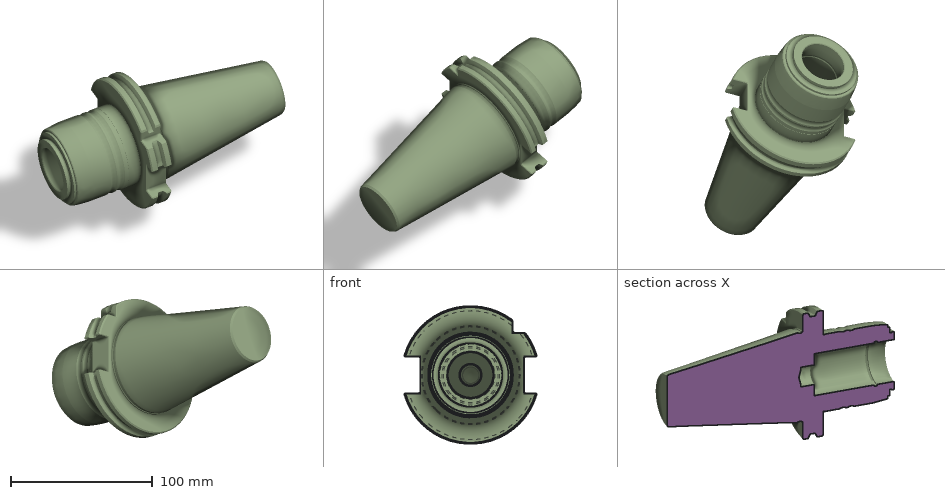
import cadquery as cq
import math


GAUGE_RADIUS = 35.0
TAPER_LENGTH = 101.7
TAPER_SLOPE = 7 / 48
TAPER_END_RADIUS = GAUGE_RADIUS - TAPER_LENGTH * TAPER_SLOPE
TAPER_END_CHAMFER = 1.5

RELIEF_DEPTH = 0.7
RELIEF_START_Y = 0.5
RELIEF_END_Y = -2.3

FLANGE_RADIUS = 48.7
FLANGE_BACK_Y = -3.2
FLANGE_WIDTH = 16.0
FLANGE_FRONT_Y = FLANGE_BACK_Y - FLANGE_WIDTH
FLANGE_CHAMFER = 0.9

GROOVE_CENTER_Y = -10.9
GROOVE_BOTTOM_WIDTH = 3.7
GROOVE_MOUTH_WIDTH = 7.0
GROOVE_BOTTOM_RADIUS = 45.5

SLOT_WIDTH = 25.6
LEFT_SLOT_X = -35.5
RIGHT_SLOT_X = 37.8
INDEX_NOTCH_CORNER = 29.9
SLOT_FACE_CHAMFER = 0.5
SLOT_RIM_CHAMFER = 0.9
SLOT_CORNER_RADIUS = 1.0

TOLERANCE = 0.01

TOTAL_LENGTH = 175.6
NOSE_END_Y = TAPER_LENGTH - TOTAL_LENGTH
NOSE_RADIUS = 30.0
ROOT_SEAM_Y = -19.7
SLEEVE_SEAM_Y = -28.8
SEAM_WIDTH = 0.5
SEAM_DEPTH = 0.2
RIPPLE_DEPTH = 0.7
BACK_RIPPLE = (-31.8, -36.5)
FRONT_RIPPLE = (-38.0, -43.0)
CROWN_START_Y = -56.7
CROWN_END_Y = -68.5
CROWN_END_RADIUS = 28.8
CROWN_BULGE = 0.26
CROWN_CHAMFER = 0.5
STEP_RADIUS = 26.7
STEP_END_Y = -70.6
NECK_RADIUS = 22.0
COLLAR_RADIUS = 22.5
COLLAR_START_Y = -71.8

BORE_RADIUS = 16.0
BORE_DEPTH = 61.5
BORE_CHAMFER = 0.5
BORE_RING_DEPTH = 15.5
BORE_RING_WIDTH = 2.1
BORE_RING_RADIUS = 17.0
COOLANT_RADIUS = 7.4
COOLANT_DEPTH = 10.5
COOLANT_CHAMFER = 0.5
DRILL_TIP_RADIUS = 5.8
DRILL_TIP_ANGLE = 150
DRILL_TIP_DEPTH = DRILL_TIP_RADIUS / math.tan(math.radians(DRILL_TIP_ANGLE / 2))


def revolve_about_y(profile):
    """Close an XY half profile and turn it about the Y axis."""
    return profile.close().revolve(360, (0, 0, 0), (0, 1, 0))


def seam(profile, middle):
    """Add one fine square groove to the nose outline."""
    start = middle + SEAM_WIDTH / 2
    end = middle - SEAM_WIDTH / 2
    seam_radius = NOSE_RADIUS - SEAM_DEPTH
    return (
        profile
        .lineTo(NOSE_RADIUS, start)
        .lineTo(seam_radius, start)
        .lineTo(seam_radius, end)
        .lineTo(NOSE_RADIUS, end)
    )


def ripple(profile, limits):
    """Add one shallow concave ring to the nose outline."""
    start, end = limits
    middle = (NOSE_RADIUS - RIPPLE_DEPTH, (start + end) / 2)
    return profile.lineTo(NOSE_RADIUS, start).threePointArc(middle, (NOSE_RADIUS, end))


def make_shank():
    relief_radius = GAUGE_RADIUS - RELIEF_DEPTH
    chamfer_y = TAPER_LENGTH - TAPER_END_CHAMFER
    profile = (
        cq.Workplane("XY")
        .moveTo(0, TAPER_LENGTH)
        .lineTo(TAPER_END_RADIUS - TAPER_END_CHAMFER / 2, TAPER_LENGTH)
        .lineTo(GAUGE_RADIUS - chamfer_y * TAPER_SLOPE, chamfer_y)
        .lineTo(GAUGE_RADIUS - RELIEF_START_Y * TAPER_SLOPE, RELIEF_START_Y)
        .lineTo(relief_radius, RELIEF_START_Y)
        .lineTo(relief_radius, RELIEF_END_Y)
        .lineTo(GAUGE_RADIUS, RELIEF_END_Y)
        .lineTo(GAUGE_RADIUS, FLANGE_BACK_Y)
        .lineTo(0, FLANGE_BACK_Y)
    )
    return revolve_about_y(profile)


def make_nose():
    crown_middle = (
        (NOSE_RADIUS + CROWN_END_RADIUS) / 2 + CROWN_BULGE,
        (CROWN_START_Y + CROWN_END_Y) / 2,
    )
    profile = (
        cq.Workplane("XY")
        .moveTo(0, FLANGE_FRONT_Y)
        .lineTo(NOSE_RADIUS, FLANGE_FRONT_Y)
    )
    profile = seam(profile, ROOT_SEAM_Y)
    profile = seam(profile, SLEEVE_SEAM_Y)
    profile = ripple(profile, BACK_RIPPLE)
    profile = ripple(profile, FRONT_RIPPLE)
    profile = (
        profile
        .lineTo(NOSE_RADIUS, CROWN_START_Y)
        .threePointArc(crown_middle, (CROWN_END_RADIUS, CROWN_END_Y))
        .lineTo(CROWN_END_RADIUS - CROWN_CHAMFER, CROWN_END_Y - CROWN_CHAMFER)
        .lineTo(STEP_RADIUS, CROWN_END_Y - CROWN_CHAMFER)
        .lineTo(STEP_RADIUS, STEP_END_Y)
        .lineTo(NECK_RADIUS, STEP_END_Y)
        .lineTo(NECK_RADIUS, COLLAR_START_Y)
        .lineTo(COLLAR_RADIUS, COLLAR_START_Y)
        .lineTo(COLLAR_RADIUS, NOSE_END_Y)
        .lineTo(0, NOSE_END_Y)
    )
    return revolve_about_y(profile)


def block(x_min, x_max, z_min, z_max):
    """Box over an X-Z window that runs through the whole flange width."""
    return cq.Workplane("XY").box(
        x_max - x_min, FLANGE_WIDTH, z_max - z_min, centered=False
    ).translate((x_min, FLANGE_FRONT_Y, z_min))


def make_flange():
    reach = 2 * FLANGE_RADIUS
    half_slot = SLOT_WIDTH / 2
    disc = (
        cq.Workplane("XZ", origin=(0, FLANGE_BACK_Y, 0))
        .circle(FLANGE_RADIUS)
        .extrude(FLANGE_WIDTH)
        .faces("<Y or >Y")
        .chamfer(FLANGE_CHAMFER)
    )
    disc = (
        disc
        .cut(block(-reach, LEFT_SLOT_X, -half_slot, half_slot))
        .cut(block(RIGHT_SLOT_X, reach, -half_slot, half_slot))
        .cut(block(INDEX_NOTCH_CORNER, reach, INDEX_NOTCH_CORNER, reach))
    )
    return bevel_slot_walls(disc)


def on_wall(edge):
    """True for edges that lie in a drive slot wall or an index notch wall."""
    center = edge.Center()
    in_slot_wall = abs(abs(center.z) - SLOT_WIDTH / 2) < TOLERANCE
    across, outward = sorted((center.x, center.z))
    in_notch_wall = abs(across - INDEX_NOTCH_CORNER) < TOLERANCE and outward > 0
    return in_slot_wall or in_notch_wall


def runs_along_y(edge):
    return abs(edge.tangentAt(0.5).y) > 1 - TOLERANCE


def is_on_rim(edge):
    center = edge.Center()
    return math.hypot(center.x, center.z) > FLANGE_RADIUS - 2 * FLANGE_CHAMFER


def bevel_slot_walls(flange):
    """Chamfer the outer edges of the slot walls and round the inner corners."""
    wall_edges = [edge for edge in flange.edges().vals() if on_wall(edge)]
    face_edges = [edge for edge in wall_edges if not runs_along_y(edge)]
    flange = flange.newObject(face_edges).chamfer(SLOT_FACE_CHAMFER)
    along_y = [edge for edge in flange.edges().vals() if on_wall(edge) and runs_along_y(edge)]
    rim_edges = [edge for edge in along_y if is_on_rim(edge)]
    flange = flange.newObject(rim_edges).chamfer(SLOT_RIM_CHAMFER)
    along_y = [edge for edge in flange.edges().vals() if on_wall(edge) and runs_along_y(edge)]
    corner_edges = [edge for edge in along_y if not is_on_rim(edge)]
    return flange.newObject(corner_edges).fillet(SLOT_CORNER_RADIUS)


def make_gripper_groove():
    half_bottom = GROOVE_BOTTOM_WIDTH / 2
    half_mouth = GROOVE_MOUTH_WIDTH / 2
    outside = FLANGE_RADIUS + 1.8
    profile = (
        cq.Workplane("XY")
        .moveTo(GROOVE_BOTTOM_RADIUS, GROOVE_CENTER_Y - half_bottom)
        .lineTo(FLANGE_RADIUS, GROOVE_CENTER_Y - half_mouth)
        .lineTo(outside, GROOVE_CENTER_Y - half_mouth)
        .lineTo(outside, GROOVE_CENTER_Y + half_mouth)
        .lineTo(FLANGE_RADIUS, GROOVE_CENTER_Y + half_mouth)
        .lineTo(GROOVE_BOTTOM_RADIUS, GROOVE_CENTER_Y + half_bottom)
    )
    return revolve_about_y(profile)


def make_bore():
    ring_back_y = NOSE_END_Y + BORE_RING_DEPTH
    ring_front_y = ring_back_y - BORE_RING_WIDTH
    floor_y = NOSE_END_Y + BORE_DEPTH
    coolant_y = floor_y + COOLANT_DEPTH
    profile = (
        cq.Workplane("XY")
        .moveTo(0, NOSE_END_Y)
        .lineTo(BORE_RADIUS + BORE_CHAMFER, NOSE_END_Y)
        .lineTo(BORE_RADIUS, NOSE_END_Y + BORE_CHAMFER)
        .lineTo(BORE_RADIUS, ring_front_y)
        .lineTo(BORE_RING_RADIUS, ring_front_y)
        .lineTo(BORE_RING_RADIUS, ring_back_y)
        .lineTo(BORE_RADIUS, ring_back_y)
        .lineTo(BORE_RADIUS, floor_y)
        .lineTo(COOLANT_RADIUS + COOLANT_CHAMFER, floor_y)
        .lineTo(COOLANT_RADIUS, floor_y + COOLANT_CHAMFER)
        .lineTo(COOLANT_RADIUS, coolant_y)
        .lineTo(DRILL_TIP_RADIUS, coolant_y)
        .lineTo(0, coolant_y + DRILL_TIP_DEPTH)
    )
    return revolve_about_y(profile)


flange = make_flange().cut(make_gripper_groove())
result = make_shank().union(flange).union(make_nose()).cut(make_bore())